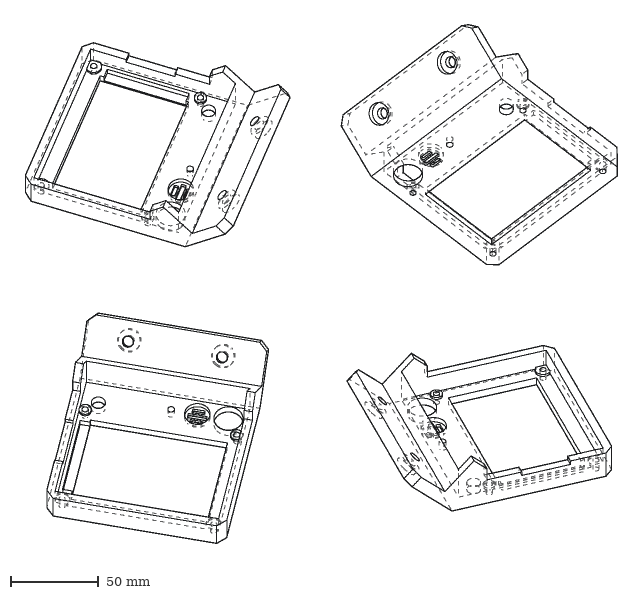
import cadquery as cq
import math

length = 125.7
width = 104.5
height = 32.9

rim_height = 17.0
side_wall = 4.8
end_wall = 5.2
pocket_end = 92.6
floor_thickness = 5.0
pocket_width = width - 2 * side_wall
through = 2 * height

cheek_start = 77.0
cheek_peak = 85.0
cheek_corner_z = height - (cheek_peak - cheek_start)
flange_offset = 11.0
flange_drop = flange_offset / 2
flange_top = length - flange_drop
tip_z = height - flange_drop
flange_root = length - tip_z
valley_x = (cheek_peak + flange_top) / 2
valley_z = height - (valley_x - cheek_peak)

bevel_x = 5.2
bevel_y = side_wall
flange_bevel_run = 3.3

window_start = 13.7
window_end = 67.0
window_half_width = 39.7
recess_start = 16.0
recess_end = 65.5
recess_edge = 45.4
recess_floor = 1.3

notch_start = 26.6
notch_end = 56.0
notch_depth = 2.5

boss_x_left = 8.3
boss_x_right = 72.8
boss_y = 44.0
boss_height = 1.4
boss_diameter_left = 9.0
boss_diameter_right = 7.0
screw_diameter = 3.5

panel_holes = [
    (79.9, 37.8, 7.9),
    (83.7, -3.6, 3.8),
    (84.0, -36.8, 16.5),
]

speaker_x = 83.6
speaker_y = -18.9
speaker_diameter = 14.5
speaker_floor = 2.0
slot_pitch = 3.8
slot_corner = 0.6
centre_slot = (2.9, 10.9)
outer_slot = (2.5, 7.2)

flange_hole_x = 111.5
flange_hole_y = 27.3
flange_hole_diameter = 6.3
screw_seat_thickness = 4.0
counterbore_diameter = 13.0


def box(x0, x1, y0, y1, z0, z1):
    """Block between two opposite corners."""
    return cq.Workplane("XY").box(x1 - x0, y1 - y0, z1 - z0, centered=False).translate((x0, y0, z0))


def cylinder(x, y, z, diameter, depth):
    """Vertical cylinder standing on height z."""
    return cq.Workplane("XY", origin=(x, y, z)).circle(diameter / 2).extrude(depth)


def make_body():
    """Extruded side profile with bevelled tray corners and flange corners."""
    profile = [
        (0, 0),
        (flange_root, 0),
        (length, tip_z),
        (flange_top, height),
        (valley_x, valley_z),
        (cheek_peak, height),
        (cheek_start, cheek_corner_z),
        (cheek_start, rim_height),
        (0, rim_height),
    ]
    body = cq.Workplane("XZ").polyline(profile).close().extrude(width / 2, both=True)
    half = width / 2
    flange_normal = (-math.sqrt(0.5), 0, math.sqrt(0.5))
    flange_plane = cq.Plane(origin=(length, 0, tip_z), xDir=(0, -1, 0), normal=flange_normal)
    flange_bevel = flange_bevel_run * math.sqrt(2)
    for side in (-1, 1):
        tray_corner = [(0, side * half), (bevel_x, side * half), (0, side * (half - bevel_y))]
        body = body.cut(cq.Workplane("XY").polyline(tray_corner).close().extrude(height))
        flange_corner = [
            (side * half, 0),
            (side * half, -flange_bevel),
            (side * (half - bevel_y), 0),
        ]
        cutter = cq.Workplane(flange_plane).polyline(flange_corner).close().extrude(flange_offset)
        body = body.cut(cutter)
    return body


def cut_tray(body):
    """Main pocket, display window, connector recess and wall notch."""
    half = pocket_width / 2
    body = body.cut(box(end_wall, pocket_end, -half, half, floor_thickness, through))
    body = body.cut(box(window_start, window_end, -window_half_width, window_half_width, 0, floor_thickness))
    body = body.cut(box(recess_start, recess_end, 0, recess_edge, recess_floor, floor_thickness))
    return body.cut(box(notch_start, notch_end, half, width / 2, rim_height - notch_depth, rim_height))


def add_bosses(body):
    """Four drilled bosses, trimmed where they would run past the pocket walls."""
    half = pocket_width / 2
    pocket = box(end_wall, pocket_end, -half, half, floor_thickness, rim_height)
    for x, diameter in ((boss_x_left, boss_diameter_left), (boss_x_right, boss_diameter_right)):
        for y in (-boss_y, boss_y):
            boss = cylinder(x, y, floor_thickness, diameter, boss_height)
            body = body.union(boss.intersect(pocket))
            body = body.cut(cylinder(x, y, 0, screw_diameter, through))
    return body


def cut_panel(body):
    """Round panel openings, then the speaker seat with three sound slots."""
    for x, y, diameter in panel_holes:
        body = body.cut(cylinder(x, y, 0, diameter, floor_thickness + boss_height))
    body = body.cut(cylinder(speaker_x, speaker_y, speaker_floor, speaker_diameter, floor_thickness))
    for step, (slot_width, slot_length) in ((-1, outer_slot), (0, centre_slot), (1, outer_slot)):
        slot = cq.Workplane("XY", origin=(speaker_x + step * slot_pitch, speaker_y, 0))
        slot = slot.rect(slot_width, slot_length).extrude(floor_thickness)
        body = body.cut(slot.edges("|Z").fillet(slot_corner))
    return body


def cut_flange_holes(body):
    """Two holes through the sloping flange, counterbored from its underside."""
    hole_z = valley_z + flange_hole_x - valley_x
    for y in (-flange_hole_y, flange_hole_y):
        plane = cq.Plane(origin=(flange_hole_x, y, hole_z), xDir=(0, 1, 0), normal=(1, 0, -1))
        hole = cq.Workplane(plane).circle(flange_hole_diameter / 2).extrude(flange_offset)
        seat = cq.Workplane(plane).workplane(offset=screw_seat_thickness)
        counterbore = seat.circle(counterbore_diameter / 2).extrude(flange_offset)
        body = body.cut(hole).cut(counterbore)
    return body


result = cut_flange_holes(cut_panel(add_bosses(cut_tray(make_body()))))